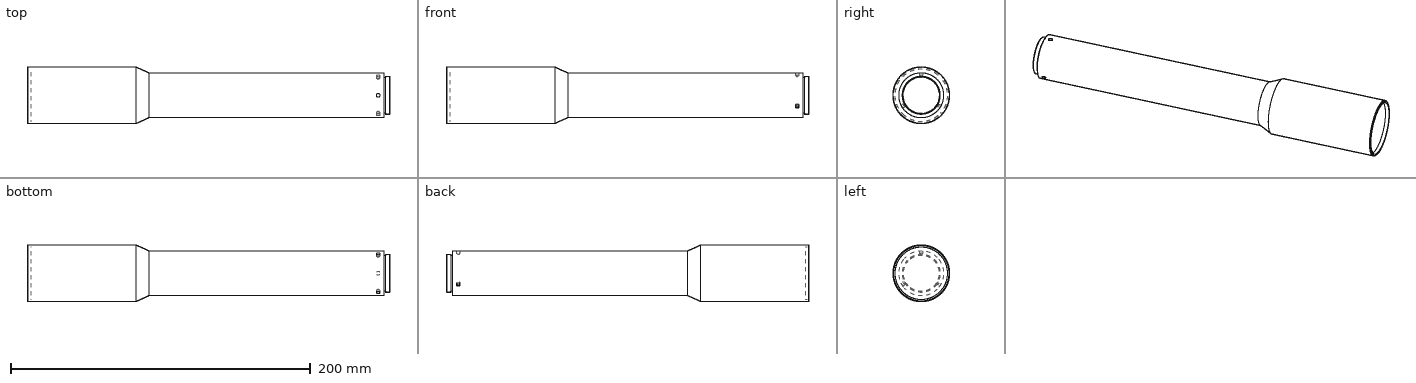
import cadquery as cq

total_length = 242.3
head_diameter = 38.0
body_diameter = 30.0
mount_diameter = 25.4

head_length = 72.5
taper_length = 8.8
mount_length = 4.0
shoulder_x = total_length - mount_length

undercut_width = 1.0
undercut_depth = 0.7
mount_chamfer = 0.5

rim_chamfer = 0.5
recess_diameter = 35.0
recess_depth = 2.5

screw_count = 3
screw_diameter = 2.5
screw_depth = 1.5
screw_tip_depth = screw_diameter / 2
screw_x = shoulder_x - 4.0


def make_barrel():
    """Revolve the half outline of the head, taper, body and mount about the X axis."""
    head_radius = head_diameter / 2
    body_radius = body_diameter / 2
    mount_radius = mount_diameter / 2
    undercut_radius = mount_radius - undercut_depth
    undercut_end_x = shoulder_x + undercut_width
    outline = [
        (0, 0),
        (0, head_radius - rim_chamfer),
        (rim_chamfer, head_radius),
        (head_length, head_radius),
        (head_length + taper_length, body_radius),
        (shoulder_x, body_radius),
        (shoulder_x, undercut_radius),
        (undercut_end_x, undercut_radius),
        (undercut_end_x, mount_radius),
        (total_length - mount_chamfer, mount_radius),
        (total_length, mount_radius - mount_chamfer),
        (total_length, 0),
    ]
    return cq.Workplane("XY").polyline(outline).close().revolve(360, (0, 0, 0), (1, 0, 0))


def make_front_recess():
    return cq.Workplane("YZ").circle(recess_diameter / 2).extrude(recess_depth)


def make_screw_hole(angle):
    """Blind radial hole with a conical bottom, turned about the X axis from the +Z direction."""
    outer_z = head_diameter / 2
    cone_z = body_diameter / 2 - screw_depth
    screw_radius = screw_diameter / 2
    outline = [
        (0, outer_z),
        (screw_radius, outer_z),
        (screw_radius, cone_z),
        (0, cone_z - screw_tip_depth),
    ]
    hole = cq.Workplane("XZ").polyline(outline).close().revolve(360, (0, 0, 0), (0, 1, 0))
    return hole.translate((screw_x, 0, 0)).rotate((0, 0, 0), (1, 0, 0), angle)


result = make_barrel().cut(make_front_recess())
for index in range(screw_count):
    result = result.cut(make_screw_hole(index * 360 / screw_count))